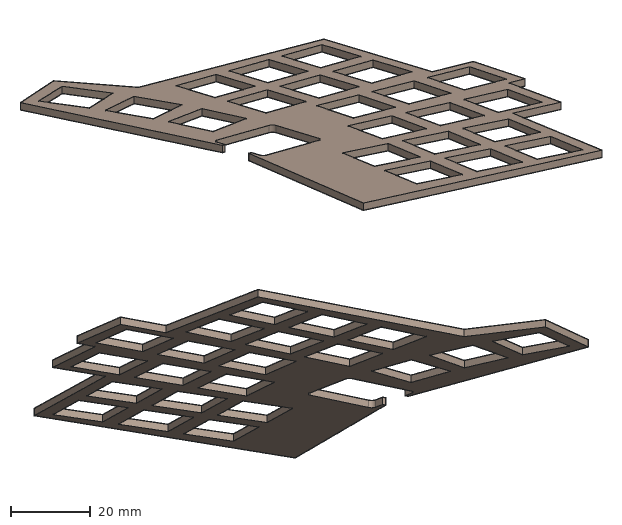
import cadquery as cq
import math

thickness = 2.0

opening_size = 14.0
switch_pitch = 18.4
rows = 3

outer_column = (-37.8, 10.5, 0)
ring_column = (0.3, 23.5, 3)
middle_column = (19.5, 16.6, 6)
inner_column = (36.5, -1.1, 9)

column_blocks = [
    (outer_column, 2),
    (ring_column, 1),
    (middle_column, 1),
    (inner_column, 2),
]

thumb_keys = [
    (-55.2, -39.7, -21),
    (-37.0, -33.8, -15),
    (-18.1, -29.8, -9),
]

side_margin = 2.9
top_margin = 3.7
edge_across = opening_size / 2 + side_margin
edge_along = switch_pitch * (rows - 1) / 2 + opening_size / 2 + top_margin
ring_step = 5.4
middle_step = 15.4

top_left_corner = (-47.9, outer_column[1] + edge_along)
ring_left_foot = (-8.9, top_left_corner[1])
right_top_corner = (69.2, 23.3)
right_bottom_corner = (60.3, -51.3)
thumb_bottom_corner = (-61.5, -53.0)
thumb_left_corner = (-69.2, -33.9)
thumb_waist = (-50.4, -22.5)

pocket_x = 4.8
pocket_width = 17.9
pocket_top = -20.6
pocket_bottom = -41.2
pocket_radius = 1.2
mouth_width = 9.4
mouth_bottom = -42.2


def local_point(key, across, along):
    """Point at an offset from a key centre, measured along the key's tilted axes."""
    x, y, tilt = key
    angle = math.radians(tilt)
    return (
        x + across * math.cos(angle) + along * math.sin(angle),
        y - across * math.sin(angle) + along * math.cos(angle),
    )


def column_keys():
    """Centre and tilt of every opening in the key columns."""
    keys = []
    for start, count in column_blocks:
        for column in range(count):
            for row in range(rows):
                along = (row - (rows - 1) / 2) * switch_pitch
                x, y = local_point(start, column * switch_pitch, along)
                keys.append((x, y, start[2]))
    return keys


def plate_blank():
    """Solid plate; the two lower edges run up to the sides of the pocket mouth."""
    outline = [
        thumb_bottom_corner,
        thumb_left_corner,
        thumb_waist,
        top_left_corner,
        ring_left_foot,
        local_point(ring_column, -edge_across, edge_along),
        local_point(ring_column, edge_across, edge_along),
        local_point(ring_column, edge_across, edge_along - ring_step),
        local_point(middle_column, edge_across, edge_along),
        local_point(middle_column, edge_across, edge_along - middle_step),
        right_top_corner,
        right_bottom_corner,
        (pocket_x + mouth_width / 2, mouth_bottom),
        (pocket_x - mouth_width / 2, mouth_bottom),
    ]
    return cq.Workplane("XY").polyline(outline).close().extrude(thickness)


def switch_opening(key):
    """Cutter for one tilted square opening."""
    x, y, tilt = key
    cutter = cq.Workplane("XY").rect(opening_size, opening_size).extrude(thickness)
    return cutter.rotate((0, 0, 0), (0, 0, 1), -tilt).translate((x, y, 0))


def controller_pocket():
    """Cutter for the rounded pocket and its mouth."""
    pocket_height = pocket_top - pocket_bottom
    pocket = (
        cq.Workplane("XY")
        .center(pocket_x, (pocket_top + pocket_bottom) / 2)
        .rect(pocket_width, pocket_height)
        .extrude(thickness)
        .edges("|Z")
        .fillet(pocket_radius)
    )
    mouth_height = pocket_top - mouth_bottom
    mouth = (
        cq.Workplane("XY")
        .center(pocket_x, (pocket_top + mouth_bottom) / 2)
        .rect(mouth_width, mouth_height)
        .extrude(thickness)
    )
    return pocket.union(mouth)


plate = plate_blank().cut(controller_pocket())
for key in column_keys() + thumb_keys:
    plate = plate.cut(switch_opening(key))

result = plate.translate((0, 0, -thickness / 2))